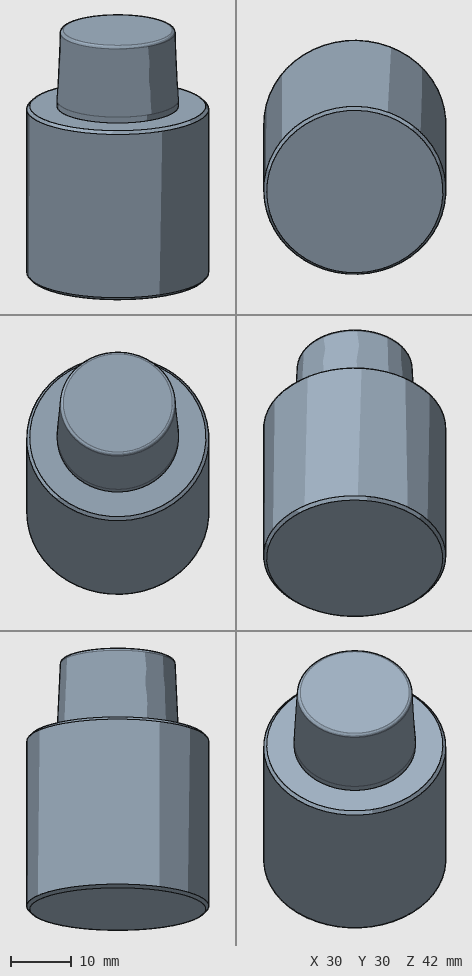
import cadquery as cq

total_height = 42.0
body_diameter = 30.0
body_height = 29.0
edge_break = 0.5

plug_base_diameter = 20.0
plug_top_diameter = 18.9
plug_collar_height = 1.0
plug_edge_radius = 0.5


def make_body():
    """Plain cylinder with both rims chamfered."""
    body = cq.Workplane("XY").circle(body_diameter / 2).extrude(body_height)
    return body.faces("<Z or >Z").edges().chamfer(edge_break)


def make_plug():
    """Short straight collar, then a slight taper up to a rounded top rim."""
    collar_top = body_height + plug_collar_height
    plug = (
        cq.Workplane("XZ")
        .moveTo(0, body_height)
        .lineTo(plug_base_diameter / 2, body_height)
        .lineTo(plug_base_diameter / 2, collar_top)
        .lineTo(plug_top_diameter / 2, total_height)
        .lineTo(0, total_height)
        .close()
        .revolve(360, (0, 0, 0), (0, 1, 0))
    )
    return plug.faces(">Z").edges().fillet(plug_edge_radius)


result = make_body().union(make_plug())